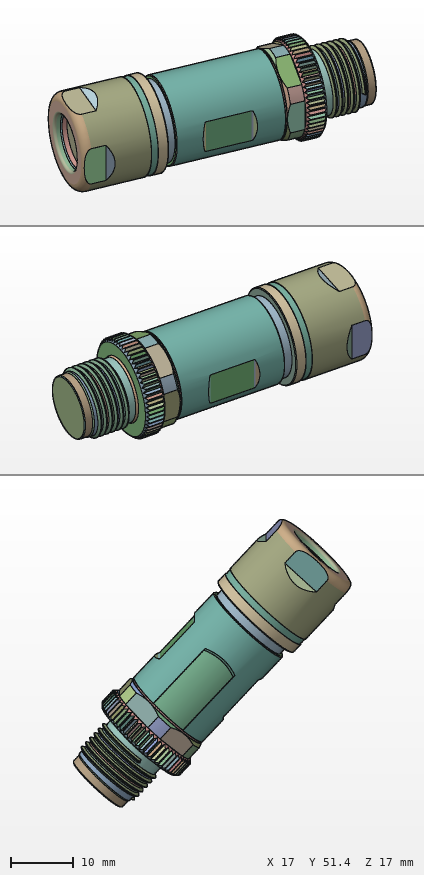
import cadquery as cq
import math

LENGTH = 51.44

NOSE_RADIUS = 5.35
NOSE_CHAMFER = 0.15
NOSE_LENGTH = 1.45
CORE_RADIUS = 5.5
CORE_TAPER_LENGTH = 0.25
NECK_FLARE = 0.2
NECK_FLARE_LENGTH = 0.4

THREAD_RADIUS = 6.0
THREAD_PITCH = 1.0
THREAD_TURNS = 5.8
THREAD_START = 49.25
THREAD_BASE = 0.84
THREAD_CREST = 0.14
THREAD_OVERLAP = 0.1

KNURL_FRONT = 41.8
KNURL_BACK = 38.2
KNURL_CHAMFER = 0.55
KNURL_TEETH = 60
KNURL_HALF_WIDTH = 16.98 / 2
KNURL_DEPTH = 0.4
KNURL_TIP_WIDTH = 0.15

HEX_BACK = 35.2
HEX_ACROSS_FLATS = 15.0
HEX_CORNER_RADIUS = 8.0
HEX_CHAMFER = 0.5

BODY_RADIUS = 7.5
BODY_FRONT = 34.9
BODY_BACK = 16.05
BODY_CHAMFER = 0.15
SEAM_RADIUS = 7.3
GROOVE_RADIUS = 6.9

POCKET_MIDDLE = 25.35
POCKET_FLOOR_LENGTH = 8.2
POCKET_FLOOR_OFFSET = 6.92
POCKET_FLOOR_FILLET = 0.4

LABEL_FLOOR_RADIUS = 7.1
LABEL_HALF_WIDTH = 3.2
LABEL_BACK = 22.0

GLAND_RADIUS = 8.25
GLAND_FRONT = 14.48
GLAND_CHAMFER = 0.15
BAND_RADIUS = 8.15
BAND_FRONT = 12.65
BAND_BACK = 11.5
GLAND_FILLET = 1.45
GLAND_FLAT_OFFSET = 7.5
GLAND_FLAT_LENGTH = 3.9
GLAND_RAMP_ANGLE = 30

OPENING_RADIUS = 4.68
OPENING_FILLET = 0.45
OPENING_STEP_DEPTH = 1.1
OPENING_STEP_LENGTH = 0.25
OPENING_INNER_RADIUS = 4.55
OPENING_DEPTH = 2.2

CUT_MARGIN = 1.0


def turned(points):
    """Revolve a closed (radius, Y) outline about the Y axis."""
    return cq.Workplane("XY").polyline(points).close().revolve(360, (0, 0), (0, 1))


def make_plug():
    core_front = LENGTH - NOSE_LENGTH
    return turned([
        (0, LENGTH),
        (NOSE_RADIUS - NOSE_CHAMFER, LENGTH),
        (NOSE_RADIUS, LENGTH - NOSE_CHAMFER),
        (NOSE_RADIUS, core_front),
        (CORE_RADIUS, core_front - CORE_TAPER_LENGTH),
        (CORE_RADIUS, KNURL_FRONT + NECK_FLARE_LENGTH),
        (CORE_RADIUS + NECK_FLARE, KNURL_FRONT),
        (0, KNURL_FRONT),
    ])


def make_thread():
    root = CORE_RADIUS - THREAD_OVERLAP
    helix = cq.Wire.makeHelix(THREAD_PITCH, THREAD_TURNS * THREAD_PITCH, root)
    ridge = (
        cq.Workplane("XZ")
        .polyline([
            (root, -THREAD_BASE / 2),
            (THREAD_RADIUS, -THREAD_CREST / 2),
            (THREAD_RADIUS, THREAD_CREST / 2),
            (root, THREAD_BASE / 2),
        ])
        .close()
        .sweep(cq.Workplane(helix), isFrenet=True)
    )
    return ridge.rotate((0, 0, 0), (1, 0, 0), 90).translate((0, THREAD_START, 0))


def make_knurled_ring():
    pitch = 2 * math.pi / KNURL_TEETH
    half_tip = KNURL_TIP_WIDTH / 2 / KNURL_HALF_WIDTH
    first_tip = pitch / 2 - half_tip
    tip_radius = KNURL_HALF_WIDTH / math.cos(first_tip)
    valley_radius = tip_radius - KNURL_DEPTH
    outline = []
    for tooth in range(KNURL_TEETH):
        corners = (
            (0, valley_radius),
            (first_tip, tip_radius),
            (first_tip + 2 * half_tip, tip_radius),
        )
        for offset, radius in corners:
            angle = tooth * pitch + offset
            outline.append((radius * math.cos(angle), radius * math.sin(angle)))
    width = KNURL_FRONT - KNURL_BACK
    star = (
        cq.Workplane("XZ", origin=(0, KNURL_FRONT, 0))
        .polyline(outline)
        .close()
        .extrude(width)
    )
    blank = (
        cq.Workplane("XZ", origin=(0, KNURL_FRONT, 0))
        .circle(tip_radius)
        .extrude(width)
        .edges()
        .chamfer(KNURL_CHAMFER)
    )
    return star.intersect(blank)


def make_hexagon():
    width = KNURL_BACK - HEX_BACK
    corner_diameter = HEX_ACROSS_FLATS / math.cos(math.pi / 6)
    prism = (
        cq.Workplane("XZ", origin=(0, KNURL_BACK, 0))
        .transformed(rotate=(0, 0, 90))
        .polygon(6, corner_diameter)
        .extrude(width)
    )
    blank = (
        cq.Workplane("XZ", origin=(0, KNURL_BACK, 0))
        .circle(HEX_CORNER_RADIUS)
        .extrude(width)
        .faces("<Y")
        .chamfer(HEX_CHAMFER)
    )
    return prism.intersect(blank)


def make_body():
    return turned([
        (0, HEX_BACK),
        (SEAM_RADIUS, HEX_BACK),
        (SEAM_RADIUS, BODY_FRONT),
        (BODY_RADIUS, BODY_FRONT),
        (BODY_RADIUS, BODY_BACK + BODY_CHAMFER),
        (BODY_RADIUS - BODY_CHAMFER, BODY_BACK),
        (GROOVE_RADIUS, BODY_BACK),
        (GROOVE_RADIUS, GLAND_FRONT),
        (0, GLAND_FRONT),
    ])


def make_spanner_pocket():
    """Cutter for the pocket on the +X side: a flat floor with 45 degree ends."""
    depth = BODY_RADIUS + CUT_MARGIN - POCKET_FLOOR_OFFSET
    half_floor = POCKET_FLOOR_LENGTH / 2
    return (
        cq.Workplane("XY", origin=(POCKET_FLOOR_OFFSET, POCKET_MIDDLE, 0))
        .polyline([
            (0, -half_floor),
            (depth, -half_floor - depth),
            (depth, half_floor + depth),
            (0, half_floor),
        ])
        .close()
        .extrude(BODY_RADIUS, both=True)
        .faces("<X")
        .edges("|Z")
        .fillet(POCKET_FLOOR_FILLET)
    )


def make_label_recess():
    """Cutter for the recess under the body: a slot with a 45 degree rear end and a round floor."""
    outer = BODY_RADIUS + CUT_MARGIN
    slot = (
        cq.Workplane("YZ")
        .polyline([
            (BODY_FRONT, 0),
            (BODY_FRONT, -outer),
            (LABEL_BACK - CUT_MARGIN, -outer),
            (LABEL_BACK + BODY_RADIUS, 0),
        ])
        .close()
        .extrude(LABEL_HALF_WIDTH, both=True)
    )
    floor = cq.Workplane("XZ").circle(LABEL_FLOOR_RADIUS).extrude(-LENGTH)
    return slot.cut(floor)


def make_gland():
    return (
        turned([
            (0, GLAND_FRONT),
            (GLAND_RADIUS - GLAND_CHAMFER, GLAND_FRONT),
            (GLAND_RADIUS, GLAND_FRONT - GLAND_CHAMFER),
            (GLAND_RADIUS, BAND_FRONT),
            (BAND_RADIUS, BAND_FRONT),
            (BAND_RADIUS, BAND_BACK),
            (GLAND_RADIUS, BAND_BACK),
            (GLAND_RADIUS, 0),
            (0, 0),
        ])
        .faces("<Y")
        .edges()
        .fillet(GLAND_FILLET)
    )


def make_gland_flat():
    """Cutter for the spanner flat on the +X side, with a ramp at its front end."""
    depth = GLAND_RADIUS + CUT_MARGIN - GLAND_FLAT_OFFSET
    ramp_length = depth / math.tan(math.radians(GLAND_RAMP_ANGLE))
    return (
        cq.Workplane("XY", origin=(GLAND_FLAT_OFFSET, 0, 0))
        .polyline([
            (0, -CUT_MARGIN),
            (depth, -CUT_MARGIN),
            (depth, GLAND_FLAT_LENGTH + ramp_length),
            (0, GLAND_FLAT_LENGTH),
        ])
        .close()
        .extrude(GLAND_RADIUS, both=True)
    )


def make_cable_opening():
    """Cutter for the stepped blind opening with a rounded mouth."""
    round_middle = (1 - math.sqrt(0.5)) * OPENING_FILLET
    return (
        cq.Workplane("XY")
        .moveTo(0, 0)
        .lineTo(OPENING_RADIUS + OPENING_FILLET, 0)
        .threePointArc(
            (OPENING_RADIUS + round_middle, round_middle),
            (OPENING_RADIUS, OPENING_FILLET),
        )
        .lineTo(OPENING_RADIUS, OPENING_STEP_DEPTH)
        .lineTo(OPENING_INNER_RADIUS, OPENING_STEP_DEPTH + OPENING_STEP_LENGTH)
        .lineTo(OPENING_INNER_RADIUS, OPENING_DEPTH)
        .lineTo(0, OPENING_DEPTH)
        .close()
        .revolve(360, (0, 0), (0, 1))
    )


def turned_about_axis(shape, angle):
    return shape.rotate((0, 0, 0), (0, 1, 0), angle)


body = make_body()
for angle in (0, 180):
    body = body.cut(turned_about_axis(make_spanner_pocket(), angle))
body = body.cut(make_label_recess())

gland = make_gland().cut(make_cable_opening())
for angle in (0, 90, 180, 270):
    gland = gland.cut(turned_about_axis(make_gland_flat(), angle))

result = (
    make_plug()
    .union(make_thread())
    .union(make_knurled_ring())
    .union(make_hexagon())
    .union(body)
    .union(gland)
)